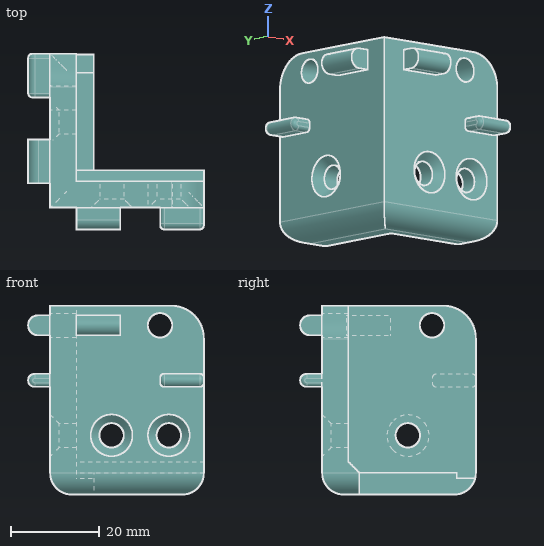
import cadquery as cq

WALL_LENGTH = 35.0
WALL_HEIGHT = 43.0
WALL_THICKNESS = 6.0
TOP_CORNER_RADIUS = 7.5
BOTTOM_RADIUS = 5.0

HOLE_DIAMETER = 5.5
COUNTERSINK_DIAMETER = 9.5
TOP_HOLE_POSITION = 25.0
TOP_HOLE_HEIGHT = 38.5
SCREW_HOLE_HEIGHT = 13.5
FRONT_SCREW_POSITIONS = (14.0, 27.0)
SIDE_SCREW_POSITIONS = (19.5,)

TAB_LENGTH = 10.0
TAB_REACH = 5.0
THICK_TAB_THICKNESS = 4.6
THICK_TAB_HEIGHT = 38.5
FRONT_THICK_TAB_START = 6.0
SIDE_THICK_TAB_START = 5.5
THIN_TAB_THICKNESS = 3.0
THIN_TAB_HEIGHT = 26.0
THIN_TAB_START = WALL_LENGTH - TAB_LENGTH
THIN_TAB_END_FILLET = 1.0

FOOT_HEIGHT = BOTTOM_RADIUS
FRONT_FOOT_WIDTH = 2.5
SIDE_FOOT_WIDTH = 4.0
SIDE_FOOT_STEP_POSITION = 30.6
SIDE_FOOT_STEP_HEIGHT = 3.8


def swap_walls(shape):
    """Carry a shape from the front wall to the side wall by exchanging X and Y."""
    return shape.mirror("YZ").rotate((0, 0, 0), (0, 0, 1), -90)


def box(x_range, y_range, height):
    """Block standing on Z = 0 between the given X and Y limits."""
    size_x = x_range[1] - x_range[0]
    size_y = y_range[1] - y_range[0]
    block = cq.Workplane("XY").box(size_x, size_y, height, centered=False)
    return block.translate((x_range[0], y_range[0], 0))


def front_wall():
    """Wall along X with its free top corner rounded."""
    wall = box((0, WALL_LENGTH), (0, WALL_THICKNESS), WALL_HEIGHT)
    return wall.edges(">X and >Z").fillet(TOP_CORNER_RADIUS)


def front_foot():
    """Strip inside the front wall, with a 45 degree slope from its edge up to the wall."""
    inner_edge = WALL_THICKNESS + FRONT_FOOT_WIDTH
    return (
        cq.Workplane("YZ")
        .moveTo(WALL_THICKNESS, 0)
        .lineTo(inner_edge, 0)
        .lineTo(inner_edge, FOOT_HEIGHT)
        .lineTo(WALL_THICKNESS, FOOT_HEIGHT + FRONT_FOOT_WIDTH)
        .close()
        .extrude(WALL_LENGTH)
    )


def side_foot():
    """Flat strip inside the side wall, stepping down near the free end."""
    x_range = (WALL_THICKNESS, WALL_THICKNESS + SIDE_FOOT_WIDTH)
    high_part = box(x_range, (WALL_THICKNESS, SIDE_FOOT_STEP_POSITION), FOOT_HEIGHT)
    low_part = box(x_range, (SIDE_FOOT_STEP_POSITION, WALL_LENGTH), SIDE_FOOT_STEP_HEIGHT)
    return high_part.union(low_part)


def rounded_envelope():
    """Block around both walls whose bottom edges are rounded on all four sides."""
    block = box((0, WALL_LENGTH), (0, WALL_LENGTH), WALL_HEIGHT)
    return block.faces("<Z").edges().fillet(BOTTOM_RADIUS)


def front_tab(start, height, thickness):
    """Tab on the front wall with a fully round nose, running along X from start."""
    radius = thickness / 2
    nose_start = -(TAB_REACH - radius)
    return (
        cq.Workplane("YZ", origin=(start, 0, height))
        .moveTo(0, -radius)
        .lineTo(nose_start, -radius)
        .threePointArc((-TAB_REACH, 0), (nose_start, radius))
        .lineTo(0, radius)
        .close()
        .extrude(TAB_LENGTH)
    )


def front_thin_tab():
    """Thin tab at the free end of the front wall, its end faces filleted around the nose."""
    tab = front_tab(THIN_TAB_START, THIN_TAB_HEIGHT, THIN_TAB_THICKNESS)
    return tab.faces("<X or >X").edges("not >Y").fillet(THIN_TAB_END_FILLET)


def front_holes(screw_positions):
    """Cutter for the plain top hole and the countersunk screw holes of the front wall."""
    outer_face = cq.Workplane("XZ")
    hole_radius = HOLE_DIAMETER / 2
    countersink_radius = COUNTERSINK_DIAMETER / 2
    countersink_depth = countersink_radius - hole_radius
    screw_points = [(x, SCREW_HOLE_HEIGHT) for x in screw_positions]
    cutter = (
        outer_face.pushPoints([(TOP_HOLE_POSITION, TOP_HOLE_HEIGHT)] + screw_points)
        .circle(hole_radius)
        .extrude(-WALL_THICKNESS)
    )
    for x, z in screw_points:
        cone = cq.Solid.makeCone(
            countersink_radius, hole_radius, countersink_depth, cq.Vector(x, 0, z), cq.Vector(0, 1, 0)
        )
        cutter = cutter.union(cq.Workplane(cone))
    return cutter


walls = front_wall().union(swap_walls(front_wall()))
body = walls.union(front_foot()).union(side_foot()).intersect(rounded_envelope())

front_thick_tab = front_tab(FRONT_THICK_TAB_START, THICK_TAB_HEIGHT, THICK_TAB_THICKNESS)
side_thick_tab = swap_walls(front_tab(SIDE_THICK_TAB_START, THICK_TAB_HEIGHT, THICK_TAB_THICKNESS))
for tab in (front_thick_tab, side_thick_tab, front_thin_tab(), swap_walls(front_thin_tab())):
    body = body.union(tab)

body = body.cut(front_holes(FRONT_SCREW_POSITIONS))
result = body.cut(swap_walls(front_holes(SIDE_SCREW_POSITIONS)))